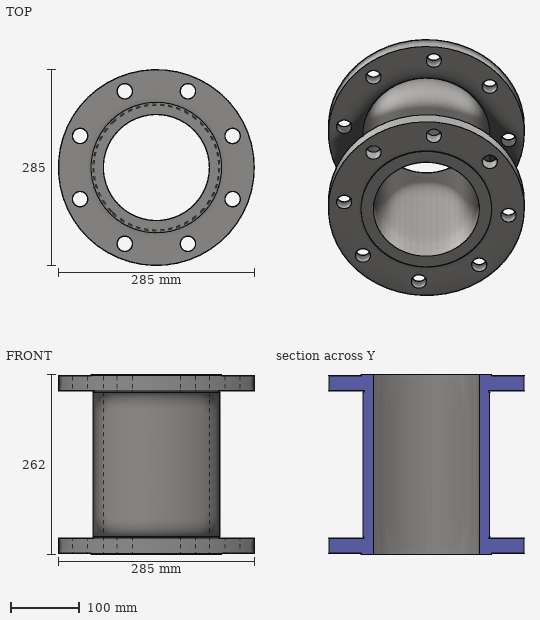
import cadquery as cq

flange_diameter = 285.0
overall_height = 262.0

bore_diameter = 154.0
pipe_diameter = 184.7
pipe_chamfer_height = 2.5
pipe_chamfer_depth = 1.7

flange_thickness = 22.0
raised_face_diameter = 189.8
raised_face_height = 1.85

bolt_count = 8
bolt_hole_diameter = 22.0
bolt_circle_diameter = 240.0
first_bolt_angle = 180.0 / bolt_count

pipe_length = overall_height - 2 * (raised_face_height + flange_thickness)


def disc(diameter, height, bottom):
    """Solid cylinder on the Z axis, starting at height `bottom`."""
    return cq.Workplane("XY").workplane(offset=bottom).circle(diameter / 2).extrude(height)


def pipe_body():
    """Solid pipe between the flanges, centred on the origin, tapering in slightly where it meets them."""
    radius = pipe_diameter / 2
    end_radius = radius - pipe_chamfer_depth
    end_height = pipe_length / 2
    shoulder_height = end_height - pipe_chamfer_height
    half_section = (
        cq.Workplane("XZ")
        .moveTo(0, -end_height)
        .lineTo(end_radius, -end_height)
        .lineTo(radius, -shoulder_height)
        .lineTo(radius, shoulder_height)
        .lineTo(end_radius, end_height)
        .lineTo(0, end_height)
        .close()
    )
    return half_section.revolve(360, (0, 0, 0), (0, 1, 0))


def upper_flange():
    """Upper flange with its raised face and its ring of bolt holes."""
    flange_bottom = pipe_length / 2
    flange_top = flange_bottom + flange_thickness
    bolt_holes = (
        cq.Workplane("XY")
        .workplane(offset=flange_bottom)
        .polarArray(bolt_circle_diameter / 2, first_bolt_angle, 360, bolt_count)
        .circle(bolt_hole_diameter / 2)
        .extrude(flange_thickness)
    )
    raised_face = disc(raised_face_diameter, raised_face_height, flange_top)
    return disc(flange_diameter, flange_thickness, flange_bottom).cut(bolt_holes).union(raised_face)


flange = upper_flange()
bore = disc(bore_diameter, overall_height, -overall_height / 2)
result = pipe_body().union(flange).union(flange.mirror("XY")).cut(bore)